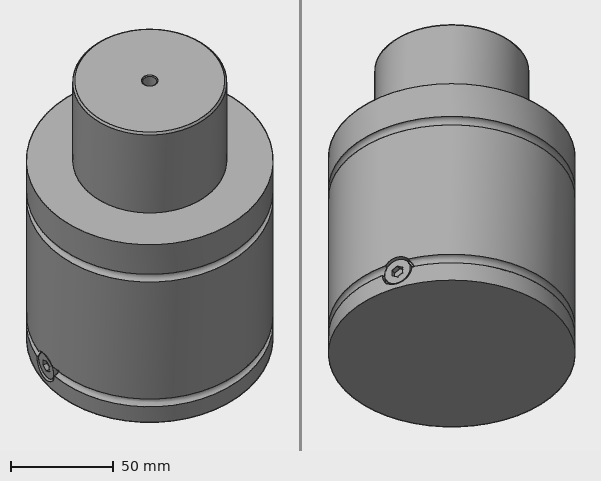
import cadquery as cq

total_height = 172.0
body_diameter = 120.0
body_height = 118.9
rod_diameter = 75.0
rod_chamfer = 1.0
body_radius = body_diameter / 2

groove_radius = 2.5
groove_heights = (13.0, 96.5)

rod_hole_diameter = 6.9
rod_hole_chamfer = 0.5
rod_hole_depth = 13.8
drill_tip_height = 2.0

port_height = 10.5
port_diameter = 16.0
port_depth = 3.5
plug_diameter = 14.0
plug_recess = 0.9
socket_across_corners = 6.5
socket_depth = 2.5


def make_body():
    """Cylinder body with the narrower rod standing on top."""
    body = cq.Workplane("XY").circle(body_radius).extrude(body_height)
    rod = cq.Workplane("XY").circle(rod_diameter / 2).extrude(total_height)
    rod = rod.faces(">Z").chamfer(rod_chamfer)
    return body.union(rod)


def make_groove(height):
    """Ring of circular section centred on the body surface."""
    section = cq.Workplane("XZ").center(body_radius, height).circle(groove_radius)
    return section.revolve(360, (-body_radius, 0), (-body_radius, 1))


def make_rod_hole():
    """Blind hole with a chamfered mouth and a conical drill tip."""
    hole_radius = rod_hole_diameter / 2
    hole_floor = total_height - rod_hole_depth
    profile = (
        cq.Workplane("XZ")
        .moveTo(0, hole_floor - drill_tip_height)
        .lineTo(hole_radius, hole_floor)
        .lineTo(hole_radius, total_height - rod_hole_chamfer)
        .lineTo(hole_radius + rod_hole_chamfer, total_height)
        .lineTo(0, total_height)
        .close()
    )
    return profile.revolve(360, (0, 0), (0, 1))


def port_plane(depth):
    """Plane facing -Y, set below the body surface and centred on the port."""
    return cq.Workplane("XZ", origin=(0, depth - body_radius, port_height))


def make_plug():
    """Flat-faced plug with its hexagon corners pointing up and down."""
    plug = port_plane(port_depth).circle(plug_diameter / 2).extrude(port_depth - plug_recess)
    socket = (
        port_plane(plug_recess)
        .transformed(rotate=(0, 0, 90))
        .polygon(6, socket_across_corners)
        .extrude(-socket_depth)
    )
    return plug.cut(socket)


result = make_body()
for groove_height in groove_heights:
    result = result.cut(make_groove(groove_height))
result = result.cut(make_rod_hole())
result = result.cut(port_plane(port_depth).circle(port_diameter / 2).extrude(port_depth))
result = result.union(make_plug())